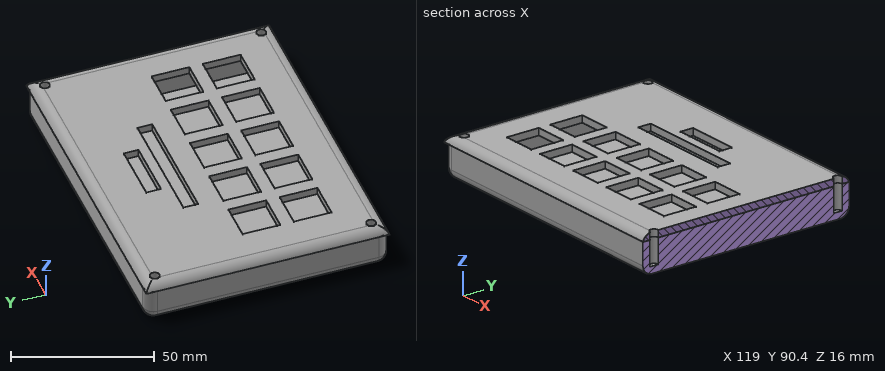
import cadquery as cq
import math

LENGTH = 119.0
WIDTH = 90.4
HEIGHT = 16.0

LID_THICKNESS = 2.9
LID_BORDER = 4.0

BASE_HEIGHT = HEIGHT - LID_THICKNESS
BASE_RADIUS = 4.0
WALL = 9.5
FLOOR = 3.0

SCREW_DIAMETER = 3.5
SCREW_SPACING_X = 108.9
SCREW_SPACING_Y = 80.5
SCREW_DEPTH = BASE_HEIGHT - FLOOR

KEY_SIZE = 14.0
KEY_PITCH = 19.0
KEY_COLUMNS = 5
KEY_ROWS = 2
KEY_CENTER = (0.7, -12.7)

WINDOW_WIDTH = 5.5
SHORT_WINDOW = (22.4, (-0.6, 24.6))
LONG_WINDOW = (45.6, (-1.1, 15.4))


def rounded_border_bar(plane, span, length):
    """Bar whose section has top edges rounded by arcs tangent to the top face."""
    half = span / 2
    flat = half - LID_BORDER
    radius = (LID_BORDER**2 + LID_THICKNESS**2) / (2 * LID_THICKNESS)
    half_angle = math.asin(LID_BORDER / radius) / 2
    mid_u = flat + radius * math.sin(half_angle)
    mid_z = HEIGHT - radius * (1 - math.cos(half_angle))
    return (
        cq.Workplane(plane)
        .moveTo(-half, BASE_HEIGHT)
        .lineTo(half, BASE_HEIGHT)
        .threePointArc((mid_u, mid_z), (flat, HEIGHT))
        .lineTo(-flat, HEIGHT)
        .threePointArc((-mid_u, mid_z), (-half, BASE_HEIGHT))
        .close()
        .extrude(length / 2, both=True)
    )


def screw_holes():
    """Cylinders that cut the lid and reach down to the level of the tray floor."""
    return (
        cq.Workplane("XY", origin=(0, 0, BASE_HEIGHT - SCREW_DEPTH))
        .rect(SCREW_SPACING_X, SCREW_SPACING_Y, forConstruction=True)
        .vertices()
        .circle(SCREW_DIAMETER / 2)
        .extrude(SCREW_DEPTH + LID_THICKNESS)
    )


def key_windows():
    return (
        cq.Workplane("XY", origin=(*KEY_CENTER, BASE_HEIGHT))
        .rarray(KEY_PITCH, KEY_PITCH, KEY_COLUMNS, KEY_ROWS)
        .rect(KEY_SIZE, KEY_SIZE)
        .extrude(LID_THICKNESS)
    )


def long_window(length, center):
    return (
        cq.Workplane("XY", origin=(*center, BASE_HEIGHT))
        .rect(length, WINDOW_WIDTH)
        .extrude(LID_THICKNESS)
    )


def make_lid():
    plate = rounded_border_bar("XZ", LENGTH, WIDTH).intersect(rounded_border_bar("YZ", WIDTH, LENGTH))
    plate = plate.cut(key_windows()).cut(screw_holes())
    for length, center in (SHORT_WINDOW, LONG_WINDOW):
        plate = plate.cut(long_window(length, center))
    return plate


def make_base():
    tray = (
        cq.Workplane("XY")
        .rect(LENGTH, WIDTH)
        .extrude(BASE_HEIGHT)
        .edges("|Z or <Z")
        .fillet(BASE_RADIUS)
    )
    cavity = (
        cq.Workplane("XY", origin=(0, 0, FLOOR))
        .rect(LENGTH - 2 * WALL, WIDTH - 2 * WALL)
        .extrude(BASE_HEIGHT - FLOOR)
    )
    return tray.cut(cavity).cut(screw_holes())


base = make_base()
lid = make_lid()
result = cq.Compound.makeCompound([*base.vals(), *lid.vals()])